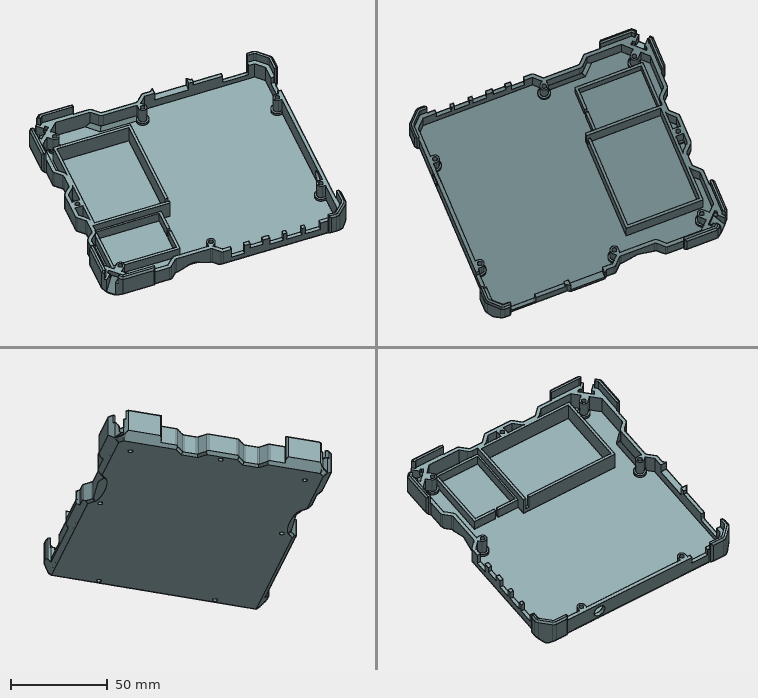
import cadquery as cq
import math

BODY_HALF_X = 57.5
BODY_HALF_Y = 65.0
RIM_Z = 12.0
WALL = 2.0
FLOOR = 1.5
BACK_CORNER = 5.5
FRONT_CORNER = 7.0

BASE_HALF_X = 55.0
BASE_HALF_Y = 63.35
BASE_CORNER = 2.2

RECESS_DEPTH = 4.3
RECESS_BLEND = 1.5
RECESS_CHAMFER = 1.2
FRONT_RECESS_X = 16.45
FRONT_RECESS_HALF = 3.9
SIDE_RECESS_Y = -17.25
SIDE_RECESS_HALF = 9.95
SIDE_FILL = 1.6
SIDE_FILL_HEIGHT = 2.3
FLANK_FILL = 1.9
SCOOP_HEIGHT = 5.1
SCOOP_DEPTH = 3.4
SCOOP_HALF_LENGTH = 11.3
SCOOP_TIP = 0.02

GUARD = 2.5
GUARD_Z = 17.5
GUARD_CHAMFER = 1.0
GUARD_BLEND = 3.0
LID_BLEND = 1.5
LID_GAP = 0.3
BACK_GUARD_X = 44.4
BACK_GUARD_Y = 55.5
FRONT_GUARD_X = 33.4
FRONT_GUARD_Y = -40.8

WEB_INNER_SUM = 107.0
WEB_OUTER_SUM = 110.0
CORNER_FILL_LENGTH = 28.0
POCKET_SUM = 113.0
POCKET_WIDTH = 8.4
POCKET_Z = 9.0
GUARD_GAP = 7.6
SLOT_WIDTH = 5.0
SLOT_REACH = 10.0

HOLE_D = 2.4
POST_D = 4.4
COLLAR_D = 6.6
COLLAR_Z = 3.0
POST_REACH = 4.0
BACK_POSTS = [(-30.05, 61.3), (32.35, 61.3)]
SIDE_POST = (48.8, -5.9)
FRONT_POST = (46.9, -55.3)
CENTRE_POST = (0.0, -60.9)

BOX_WALL = 1.5
BOX_FRONT_Y = -58.8
LARGE_BOX_X = (-40.1, 16.7)
LARGE_BOX_BACK_Y = -16.0
LARGE_BOX_GAP = (13.3, 15.2)
LARGE_BOX_GAP_Z = 4.3
SMALL_BOX_X = (16.2, 43.8)
SMALL_BOX_BACK_Y = -21.0
SMALL_BOX_Z = 7.5
SMALL_BOX_GAP = (29.1, 30.6)

RIGHT_NOTCHES = [
    (43.0, 51.3, 7.1),
    (32.8, 41.1, 7.1),
    (23.3, 30.8, 7.1),
    (12.5, 19.6, 8.7),
    (2.2, 9.4, 5.8),
]
LEFT_DEEP_NOTCH = (41.0, 55.4, 4.6)
LEFT_DEEP_NOTCH_BLEND = 1.0
LEFT_SHALLOW_NOTCH = (24.8, 41.1, 9.6)
LEFT_LATCH_NOTCH = (3.4, 22.2, 6.7)
LATCH_DEPTH = 1.6
BACK_NOTCH = (-43.5, -33.9, 7.7)
BACK_HOLE_X = 23.5
BACK_HOLE_Z = 6.6
BACK_HOLE_D = 6.6


def box(x0, x1, y0, y1, z0, z1):
    """Axis-aligned block between two corners."""
    return cq.Workplane("XY").box(x1 - x0, y1 - y0, z1 - z0, centered=False).translate((x0, y0, z0))


def prism(points, z0, z1):
    """Upright prism over a polygon."""
    return cq.Workplane("XY").workplane(offset=z0).polyline(points).close().extrude(z1 - z0)


def both_sides(solid):
    """The solid together with its mirror image in X."""
    return solid.union(solid.mirror("YZ"))


def closed_outline(right_half):
    """Polygon symmetric about the Y axis, from its right half."""
    left_half = [(-x, y) for x, y in reversed(right_half)]
    return cq.Workplane("XY").polyline(right_half + left_half).close()


def at_front_corner(solid, start_sum):
    """Turn local +X outward across the (+X, -Y) corner, from |x| + |y| = start_sum, in line with its post."""
    middle = (FRONT_POST[0] + FRONT_POST[1]) / 2
    turned = solid.rotate((0, 0, 0), (0, 0, 1), -45)
    return turned.translate((middle + start_sum / 2, middle - start_sum / 2, 0))


def diagonal_block(start_sum, end_sum, width, z0, z1):
    """Block across the (+X, -Y) corner, between two values of |x| + |y|."""
    length = (end_sum - start_sum) / math.sqrt(2)
    return at_front_corner(box(0, length, -width / 2, width / 2, z0, z1), start_sum)


def plain_outline():
    """Rectangle with 45 degree corners, without recesses."""
    return closed_outline([
        (BODY_HALF_X - FRONT_CORNER, -BODY_HALF_Y),
        (BODY_HALF_X, -BODY_HALF_Y + FRONT_CORNER),
        (BODY_HALF_X, BODY_HALF_Y - BACK_CORNER),
        (BODY_HALF_X - BACK_CORNER, BODY_HALF_Y),
    ])


def recess_points(half_length, start, end):
    """Trapezoid with 45 degree flanks along local X; its flat bottom is at start."""
    flare = half_length + end - start
    return [(-half_length, start), (half_length, start), (flare, end), (-flare, end)]


def recess_shapes():
    """Point lists of the four recesses, reaching out past the walls."""
    reach = RECESS_DEPTH + 2 * GUARD
    front = recess_points(FRONT_RECESS_HALF, 0, reach)
    side = recess_points(SIDE_RECESS_HALF, 0, reach)
    front_y = -BODY_HALF_Y + RECESS_DEPTH
    side_x = BODY_HALF_X - RECESS_DEPTH
    shapes = []
    for sign in (-1, 1):
        shapes.append([(sign * FRONT_RECESS_X + u, front_y - v) for u, v in front])
        shapes.append([(sign * (side_x + v), SIDE_RECESS_Y + u) for u, v in side])
    return shapes


def body():
    """Solid block inside the walls, with rounded recesses."""
    block = plain_outline().extrude(RIM_Z)
    for shape in recess_shapes():
        block = block.cut(prism(shape, 0, RIM_Z))
    front_corners = cq.selectors.BoxSelector(
        (-FRONT_GUARD_X, -BODY_HALF_Y - GUARD, 0), (FRONT_GUARD_X, 0, RIM_Z))
    side_corners = cq.selectors.BoxSelector(
        (-BODY_HALF_X - GUARD, FRONT_GUARD_Y, 0), (BODY_HALF_X + GUARD, 0, RIM_Z))
    return block.edges("|Z").edges(front_corners + side_corners).fillet(RECESS_BLEND)


def back_half():
    """Selector for everything at positive Y."""
    reach = 2 * BODY_HALF_Y
    return cq.selectors.BoxSelector((-reach, 0, 0), (reach, reach, reach))


def guard_region(end_x, end_y, side):
    """Corner area of one guard; its ends are chamfered on the outside."""
    out_x = BODY_HALF_X + GUARD
    out_y = side * (BODY_HALF_Y + GUARD)
    chamfer_y = side * GUARD_CHAMFER
    return prism([
        (end_x, end_y),
        (end_x, out_y - chamfer_y),
        (end_x + GUARD_CHAMFER, out_y),
        (out_x, out_y),
        (out_x, end_y + chamfer_y),
        (out_x - GUARD_CHAMFER, end_y),
    ], 0, GUARD_Z)


def guards():
    """Four raised corner guards."""
    block = plain_outline().offset2D(GUARD, "intersection").extrude(GUARD_Z)
    block = block.edges("|Z").edges(back_half()).fillet(GUARD_BLEND)
    block = block.faces(">Z").edges().chamfer(GUARD_CHAMFER)
    back = guard_region(BACK_GUARD_X, BACK_GUARD_Y, 1)
    front = guard_region(FRONT_GUARD_X, FRONT_GUARD_Y, -1)
    return block.intersect(both_sides(back.union(front)))


def latch_boss():
    """Boss with 45 degree ends on the left wall."""
    y0, y1, _ = LEFT_LATCH_NOTCH
    wall_x = -BODY_HALF_X
    return prism([
        (wall_x, y0 - LATCH_DEPTH),
        (wall_x - LATCH_DEPTH, y0),
        (wall_x - LATCH_DEPTH, y1),
        (wall_x, y1 + LATCH_DEPTH),
        (wall_x + WALL, y1),
        (wall_x + WALL, y0),
    ], 0, RIM_Z)


def underside():
    """Envelope that widens upward at 45 degrees from the base rectangle."""
    base = closed_outline([
        (BASE_HALF_X - BASE_CORNER, -BASE_HALF_Y),
        (BASE_HALF_X, -BASE_HALF_Y + BASE_CORNER),
        (BASE_HALF_X, BASE_HALF_Y),
    ])
    return base.extrude(GUARD_Z, taper=-45)


def recess_chamfers():
    """Cutters for the bottom chamfer of the recess walls."""
    cutters = cq.Workplane("XY")
    for shape in recess_shapes():
        outline = cq.Workplane("XY").polyline(shape).close().offset2D(RECESS_CHAMFER, "intersection")
        cutters = cutters.add(outline.extrude(RECESS_CHAMFER, taper=45))
    return cutters.combine()


def scoops():
    """Cone-shaped cutters with their tips on the side recess walls."""
    cone = (
        cq.Workplane("XY")
        .ellipse(SCOOP_DEPTH, SCOOP_HALF_LENGTH)
        .workplane(offset=SCOOP_HEIGHT)
        .ellipse(SCOOP_TIP, SCOOP_TIP * SCOOP_HALF_LENGTH / SCOOP_DEPTH)
        .loft(ruled=True)
    )
    return both_sides(cone.translate((BODY_HALF_X - RECESS_DEPTH, SIDE_RECESS_Y, 0)))


def cavity():
    """Space inside the walls, following the recesses."""
    space = plain_outline().offset2D(-WALL, "intersection").extrude(GUARD_Z - FLOOR)
    for shape in recess_shapes():
        rounded = cq.Workplane("XY").polyline(shape).close().offset2D(-RECESS_BLEND)
        wall = rounded.offset2D(RECESS_BLEND + WALL)
        space = space.cut(wall.extrude(GUARD_Z - FLOOR))
    return space.translate((0, 0, FLOOR))


def lid_space():
    """Space above the rim that the guards surround."""
    space = plain_outline().offset2D(LID_GAP, "intersection").extrude(GUARD_Z - RIM_Z)
    space = space.edges("|Z").edges(back_half()).fillet(LID_BLEND)
    return space.translate((0, 0, RIM_Z))


def side_fills():
    """Sloped fill at the floor behind the side recesses: along the flat bottom and the front flank."""
    wall_x = BODY_HALF_X - RECESS_DEPTH - WALL
    foot_x = wall_x - SIDE_FILL
    flank = RECESS_DEPTH
    mitre = WALL * math.tan(math.pi / 8)
    back_y = SIDE_RECESS_Y + SIDE_RECESS_HALF + mitre
    front_y = SIDE_RECESS_Y - SIDE_RECESS_HALF - mitre
    flank_shift = FLANK_FILL * math.sqrt(2)
    foot = [
        (wall_x + flank, back_y + flank),
        (foot_x, back_y - SIDE_FILL),
        (foot_x, front_y + SIDE_FILL - flank_shift),
        (wall_x + flank, front_y - flank - flank_shift),
    ]
    top = [
        (wall_x + flank, back_y + flank),
        (wall_x, back_y),
        (wall_x, front_y),
        (wall_x + flank, front_y - flank),
    ]
    fill = (
        cq.Workplane("XY").workplane(offset=FLOOR).polyline(foot).close()
        .workplane(offset=SIDE_FILL_HEIGHT).polyline(top).close()
        .loft(ruled=True)
    )
    return both_sides(fill)


def post(place, ribs, diameter, top):
    """Round post with ribs; ribs is a function giving the rib polygon for a radius."""
    column = cq.Workplane("XY").circle(diameter / 2).extrude(top)
    return column.union(prism(ribs(diameter / 2), 0, top)).translate((place[0], place[1], 0))


def back_rib(r):
    """Rib toward the +Y wall."""
    return [(-r, 0), (r, 0), (r, POST_REACH), (-r, POST_REACH)]


def centre_rib(r):
    """Rib between the front wall and the large compartment."""
    back = BOX_FRONT_Y - CENTRE_POST[1]
    return [(-r, -POST_REACH), (r, -POST_REACH), (r, back), (-r, back)]


def side_rib(r):
    """Rib toward the +X wall: level below, 45 degrees above."""
    tangent = r / math.sqrt(2)
    return [(0, -r), (POST_REACH, -r), (POST_REACH, 2 * tangent - POST_REACH), (tangent, tangent)]


def corner_rib(r):
    """Rib toward the (+X, -Y) corner."""
    tangent = r / math.sqrt(2)
    return [
        (-tangent, -tangent),
        (tangent, tangent),
        (tangent + POST_REACH, tangent - POST_REACH),
        (POST_REACH - tangent, -tangent - POST_REACH),
    ]


def posts():
    """All seven posts, each with a wider collar at the floor."""
    solids = cq.Workplane("XY")
    for diameter, top in ((COLLAR_D, COLLAR_Z), (POST_D, RIM_Z)):
        for place in BACK_POSTS:
            solids = solids.union(post(place, back_rib, diameter, top))
        solids = solids.union(post(CENTRE_POST, centre_rib, diameter, top))
    for place, rib in ((SIDE_POST, side_rib), (FRONT_POST, corner_rib)):
        collar = cq.Workplane("XY").center(*place).circle(COLLAR_D / 2).extrude(COLLAR_Z)
        solids = solids.union(both_sides(collar.union(post(place, rib, POST_D, RIM_Z))))
    return solids


def post_holes():
    """Through holes of all posts."""
    sides = [(sign * x, y) for sign in (-1, 1) for x, y in (SIDE_POST, FRONT_POST)]
    places = BACK_POSTS + [CENTRE_POST] + sides
    return cq.Workplane("XY").pushPoints(places).circle(HOLE_D / 2).extrude(RIM_Z)


def compartment(x_range, back_y, top):
    """Rectangular wall standing on the floor."""
    x0, x1 = x_range
    outer = box(x0, x1, BOX_FRONT_Y, back_y, 0, top)
    inner = box(x0 + BOX_WALL, x1 - BOX_WALL, BOX_FRONT_Y + BOX_WALL, back_y - BOX_WALL, 0, top)
    return outer.cut(inner)


def compartments():
    """Large and small compartments, each with a gap in its back wall."""
    large = compartment(LARGE_BOX_X, LARGE_BOX_BACK_Y, RIM_Z)
    large_inner_y = LARGE_BOX_BACK_Y - BOX_WALL
    large = large.cut(box(*LARGE_BOX_GAP, large_inner_y, LARGE_BOX_BACK_Y, LARGE_BOX_GAP_Z, RIM_Z))
    small = compartment(SMALL_BOX_X, SMALL_BOX_BACK_Y, SMALL_BOX_Z)
    small_inner_y = SMALL_BOX_BACK_Y - BOX_WALL
    small = small.cut(box(*SMALL_BOX_GAP, small_inner_y, SMALL_BOX_BACK_Y, FLOOR, SMALL_BOX_Z))
    return large.union(small)


def corner_fills():
    """Solid front corners outside the diagonal webs."""
    return both_sides(diagonal_block(WEB_INNER_SUM, POCKET_SUM + WALL, CORNER_FILL_LENGTH, 0, RIM_Z))


def strap_slots():
    """Pocket behind each front corner and the ramped slot that leads out of it."""
    pocket = diagonal_block(WEB_OUTER_SUM, POCKET_SUM, POCKET_WIDTH, POCKET_Z, RIM_Z)
    slot_end_sum = WEB_OUTER_SUM + SLOT_REACH * math.sqrt(2)
    gap = diagonal_block(WEB_OUTER_SUM, slot_end_sum, GUARD_GAP, RIM_Z, GUARD_Z)
    ramp = (
        cq.Workplane("XZ")
        .polyline([(0, POCKET_Z), (SLOT_REACH, POCKET_Z - SLOT_REACH), (SLOT_REACH, RIM_Z), (0, RIM_Z)])
        .close()
        .extrude(SLOT_WIDTH / 2, both=True)
    )
    ramp = at_front_corner(ramp, WEB_OUTER_SUM)
    return both_sides(pocket.intersect(cavity()).union(gap).union(ramp))


def side_notch(side, notch):
    """Cutter through the left (-1) or right (+1) wall."""
    y0, y1, z0 = notch
    inner = side * (BODY_HALF_X - WALL)
    outer = side * (BODY_HALF_X + LATCH_DEPTH)
    return box(min(inner, outer), max(inner, outer), y0, y1, z0, RIM_Z)


def wall_openings():
    """Cutters for the side notches, the back notch and the round hole in the back wall."""
    cutters = side_notch(-1, LEFT_DEEP_NOTCH).edges("|X and <Z").fillet(LEFT_DEEP_NOTCH_BLEND)
    for notch in (LEFT_SHALLOW_NOTCH, LEFT_LATCH_NOTCH):
        cutters = cutters.union(side_notch(-1, notch))
    for notch in RIGHT_NOTCHES:
        cutters = cutters.union(side_notch(1, notch))
    x0, x1, z0 = BACK_NOTCH
    cutters = cutters.union(box(x0, x1, BODY_HALF_Y - WALL, BODY_HALF_Y, z0, RIM_Z))
    hole = (
        cq.Workplane("XZ", origin=(BACK_HOLE_X, BODY_HALF_Y, BACK_HOLE_Z))
        .circle(BACK_HOLE_D / 2).extrude(WALL)
    )
    return cutters.union(hole)


envelope = body().union(guards()).union(latch_boss())
envelope = envelope.intersect(underside()).cut(recess_chamfers())
shell = envelope.cut(cavity()).cut(lid_space())
inside = side_fills().union(posts()).union(compartments()).union(corner_fills())
part = shell.union(inside.intersect(envelope))
openings = strap_slots().union(wall_openings()).union(post_holes()).union(scoops())
result = part.cut(openings)